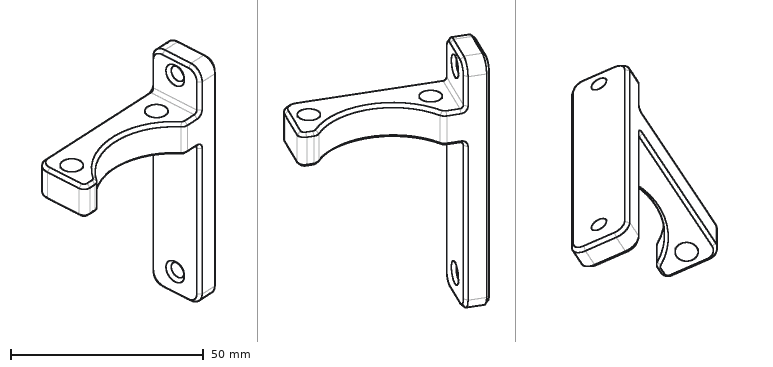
import cadquery as cq

width = 17.0
depth = 51.75
height = 75.0

plate_thickness = 7.0
large_radius = 4.0
small_radius = 2.0
edge_chamfer = 1.0
junction_radius = 1.0

arm_thickness = 10.1
arm_top = height - 13.9
arm_bottom = arm_top - arm_thickness

screw_diameter = 4.4
screw_x = width / 2
upper_screw_z = height - 5.5
screw_spacing = 62.0

arm_hole_diameter = 6.0
arm_hole_x = 7.65
arm_hole_near_y = 5.5
arm_hole_spacing = 33.0
notch_radius = 20.5
notch_wall = 8.0
notch_y = arm_hole_near_y + arm_hole_spacing / 2

plate_front = depth - plate_thickness
overshoot = 0.75


def make_plate():
    """Upright plate with four rounded corners."""
    plate = cq.Workplane("XY").box(width, plate_thickness, height, centered=False)
    plate = plate.translate((0, plate_front, 0))
    return plate.edges("|Y").fillet(large_radius)


def make_arm():
    """Arm reaching to the back of the plate, notched on its +X side."""
    arm = (
        cq.Workplane("XY", origin=(0, 0, arm_bottom))
        .rect(width, depth, centered=False)
        .extrude(arm_thickness)
    )
    notch = (
        cq.Workplane("XY", origin=(0, 0, arm_bottom))
        .center(notch_wall + notch_radius, notch_y)
        .circle(notch_radius)
        .extrude(arm_thickness)
    )
    arm = arm.cut(notch)
    arm = arm.edges("|Z and <X and <Y").fillet(large_radius)
    tip_and_notch = cq.selectors.BoxSelector(
        (width - overshoot, -overshoot, arm_bottom),
        (width + overshoot, plate_front, arm_top),
    )
    return arm.edges("|Z").edges(tip_and_notch).fillet(small_radius)


def make_body():
    """Plate and arm joined, with soft inner corners and chamfered rims."""
    body = make_plate().union(make_arm())
    junction = cq.selectors.BoxSelector(
        (0, plate_front - overshoot, arm_bottom - overshoot),
        (width, plate_front + overshoot, arm_top + overshoot),
    )
    body = body.edges("|X").edges(junction).fillet(junction_radius)
    return body.edges("|X and (>Z or <Z)").chamfer(edge_chamfer)


def cut_screw_holes(body):
    """Two holes along Y, countersunk at 90 degrees on the plate front."""
    for screw_z in (upper_screw_z, upper_screw_z - screw_spacing):
        body = (
            body.copyWorkplane(cq.Workplane("XZ", origin=(screw_x, plate_front, screw_z)))
            .cskHole(screw_diameter, screw_diameter + 2 * edge_chamfer, 90)
        )
    return body


def cut_arm_holes(body):
    """Two plain holes through the arm along Z."""
    holes = (
        cq.Workplane("XY", origin=(0, 0, arm_bottom))
        .pushPoints([
            (arm_hole_x, arm_hole_near_y),
            (arm_hole_x, arm_hole_near_y + arm_hole_spacing),
        ])
        .circle(arm_hole_diameter / 2)
        .extrude(arm_thickness)
    )
    return body.cut(holes)


result = cut_arm_holes(cut_screw_holes(make_body()))